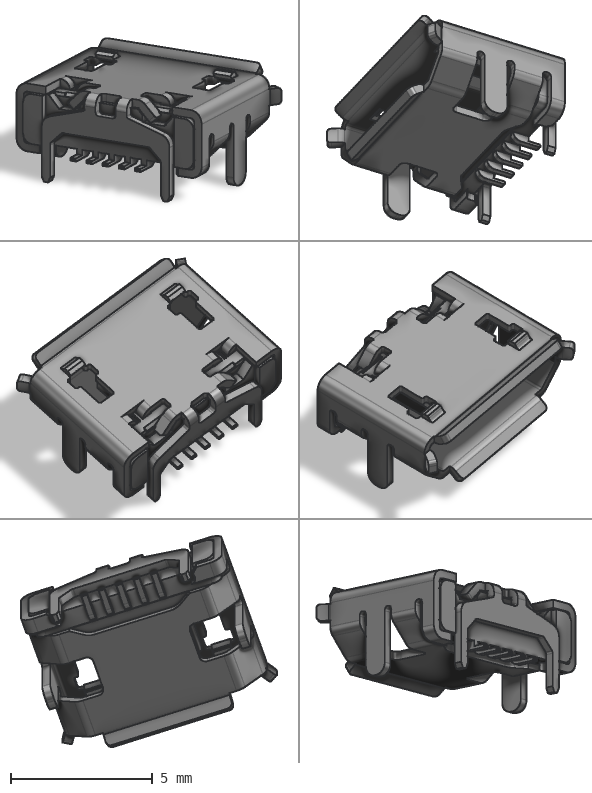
import cadquery as cq


NEARLY_FULL = 0.999

SHEET = 0.30
HALF_WIDTH = 3.74
SHELL_LENGTH = 4.93
TOP_Z = 2.49
BEND_OUTER = 0.45
BEND_INNER = BEND_OUTER - SHEET
CEILING_Z = TOP_Z - SHEET
INNER_HALF_WIDTH = HALF_WIDTH - SHEET

FRONT_FLOOR_Z = 0.06
FLANK_TOP_Z = 0.986
FLOOR_HALF_WIDTH = HALF_WIDTH - (FLANK_TOP_Z - FRONT_FLOOR_Z)

FOOT_BOTTOM_Z = -0.02
FOOT_LENGTH = 0.557
FOOT_INNER_X = 2.62
FOOT_ROUND = 0.18
SLOT_TOP_Z = 1.465
SLOT_WIDTH = 0.334
FRONT_PART_Y = FOOT_LENGTH + SLOT_WIDTH

RECESS_HALF_WIDTH = 2.24
RECESS_END_HALF_WIDTH = 1.63
RECESS_DEPTH = 0.40
RECESS_ROUND = 0.70

LEG_BOTTOM_Z = -0.955
LEG_CENTRE_Y = 2.78
LEG_WIDTH = 0.90
LEG_ROUND = 0.40
LEG_GAP = 0.30
LEG_OPENING_INNER_X = 1.80
LEG_OPENING_ROUND = 0.22

LIP_NECK = 0.055
LIP_NECK_RISE = 0.012
LIP_ROOT = 0.17
LIP_BEND = 0.40
LIP_RISE = 0.285
LIP_RISE_LENGTH = 0.42
LIP_REACH = 0.61
LIP_TIP_OFFSET = 0.01
TOP_LIP_HALF_WIDTH = 3.19
BOTTOM_LIP_HALF_WIDTH = 2.35
LIP_CORNER = 0.19
SIDE_LIP_RISE = 0.26
SIDE_LIP_REACH = 0.42
SIDE_LIP_LENGTH = 0.585
SIDE_LIP_INNER_RISE = 0.02
SIDE_LIP_BOTTOM_Z = 1.395
SIDE_LIP_TOP_Z = 1.995
SIDE_LIP_CORNER = 0.15

WINDOW_X = 2.38
WINDOW_WIDTH = 0.70
WINDOW_REAR_Y = 2.39
WINDOW_FRONT_Y = 4.457
WINDOW_WIDE_WIDTH = 1.09
WINDOW_WIDE_REAR_Y = 3.41
WINDOW_WIDE_FRONT_Y = 3.91
WINDOW_ROUND = 0.07
CATCH_RISE = 0.20
CATCH_BEND_MIDDLE_Y = 4.365
CATCH_BEND_MIDDLE_RISE = 0.05
CATCH_BEND_END_Y = 4.29
CATCH_BEND_END_RISE = 0.14
CATCH_CREST_FRONT_Y = 4.24
CATCH_CREST_REAR_Y = 4.08
CATCH_TIP_Y = 3.917
CATCH_TIP_Z = 2.60
CATCH_UNDERCUT_Y = 4.05
CATCH_UNDERCUT_FRONT_Y = 4.15
CATCH_UNDERCUT_Z = 2.42
CATCH_ROOT_Y = 4.33

OPENING_OUTER_X = 2.555
OPENING_FRONT_Y = 1.45
OPENING_FRONT_INNER_X = 1.49
CROSS_SLOT_INNER_X = 0.91
CROSS_SLOT_REAR_Y = 0.63
CROSS_SLOT_FRONT_Y = 1.06
CROSS_SLOT_ROUND = 0.08
CENTRE_HALF_WIDTH = 1.045
CENTRE_REAR_Y = 0.17
NOSE_RADIUS = 0.40

TAB_BEND_X = 1.23
TAB_TIP_X = 1.80
TAB_INNER_BEND_X = 1.08
TAB_INNER_TIP_X = 1.57
TAB_BEND_ROUND = 0.40
TAB_TIP_ROUND = 0.10

PLATE_REAR_Y = -0.255
PLATE_THICKNESS = 0.31
STRAP_INNER_X = 0.405
STRAP_OUTER_X = 0.85
STRAP_BEND = 0.39
PLATE_NOTCH_Z = 1.793
PLATE_NOTCH_ROUND = 0.14
STRAP_FOOT_ROUND = 0.10
TOP_NOTCH_DEPTH = 0.08
TOP_NOTCH_ROUND = 0.15
SHOULDER_Z = 1.905
SHOULDER_SLOPE = 0.295
SHOULDER_ROUND = 0.43
PLATE_HALF_WIDTH = 2.58
PIN_WIDTH = 0.34
PIN_TIP_WIDTH = 0.16
PIN_TAPER_Z = -0.763
ARCH_SPRING_Z = 0.50
ARCH_TOP_Z = 0.958
ARCH_TOP_HALF_WIDTH = 1.76
ARCH_ROUND = 0.12

HOUSING_TOP_Z = 2.14
HOUSING_BOTTOM_Z = 0.30
HOUSING_REAR_Y = 0.19
HOUSING_FRONT_Y = 1.90
HOUSING_ROUND = 0.35
TOWER_INNER_X = 2.66
TOWER_REAR_Y = -0.06
POCKET_FLOOR_Z = 1.67
POCKET_FRONT_Y = 0.575
POCKET_INNER_X = 1.24
POCKET_INNER_TOP_X = 1.07
POCKET_INNER_WALL_Z = 1.95
POCKET_OUTER_X = 2.12
POCKET_OUTER_TOP_X = 2.54
LEDGE_FRONT_Y = 0.63
LEDGE_CHAMFER = 0.12
STRIP_SLOT_INNER_X = 2.00
STRIP_SLOT_DEPTH = 0.20
TONGUE_HALF_WIDTH = 1.80
TONGUE_BOTTOM_Z = 1.27
TONGUE_TOP_Z = 1.87
TONGUE_FRONT_Y = 3.55
TONGUE_ROUND = 0.12

CONTACT_COUNT = 5
CONTACT_PITCH = 0.65
CONTACT_WIDTH = 0.22
CONTACT_THICKNESS = 0.12
CONTACT_BEND = 0.30
CONTACT_FRONT_Y = 0.807
CONTACT_REAR_Y = -0.28
CONTACT_TOP_Z = HOUSING_BOTTOM_Z + 0.10
CONTACT_TIP_CHAMFER = 0.035


def box(x0, x1, y0, y1, z0, z1):
    """Box between two opposite corners."""
    return cq.Workplane("XY").box(x1 - x0, y1 - y0, z1 - z0, centered=False).translate((x0, y0, z0))


def both_sides(half):
    """The +X shape together with its mirror image."""
    return half.union(half.mirror("YZ"))


def along_y(points, y0, y1):
    """Closed (x, z) outline swept from y0 to y1."""
    return cq.Workplane("XZ", origin=(0, y0, 0)).polyline(points).close().extrude(y0 - y1)


def along_x(points, x0, x1):
    """Closed (y, z) outline swept from x0 to x1."""
    return cq.Workplane("YZ", origin=(x0, 0, 0)).polyline(points).close().extrude(x1 - x0)


def along_z(points, z0, z1):
    """Closed (x, y) outline swept from z0 to z1."""
    return cq.Workplane("XY", origin=(0, 0, z0)).polyline(points).close().extrude(z1 - z0)


def mirrored_outline(half):
    """Symmetric outline from the points of its +X half."""
    return half + [(-x, z) for x, z in reversed(half)]


def near(x, y, z, reach=0.01):
    """Selector for edges whose centre lies at a point."""
    return cq.selectors.BoxSelector(
        (x - reach, y - reach, z - reach), (x + reach, y + reach, z + reach)
    )


def tube(outline, y0, y1):
    """Folded sheet tube with rounded bends, and the solid that fills its inside."""
    outer = along_y(outline, y0, y1).edges("|Y").fillet(BEND_OUTER)
    wire = cq.Workplane("XZ", origin=(0, y0, 0)).polyline(outline).close()
    inside = wire.offset2D(-SHEET, "intersection").extrude(y0 - y1).edges("|Y").fillet(BEND_INNER)
    return outer.cut(inside), inside


KEYED_OUTLINE = mirrored_outline(
    [(HALF_WIDTH, TOP_Z), (HALF_WIDTH, FLANK_TOP_Z), (FLOOR_HALF_WIDTH, FRONT_FLOOR_Z)]
)
SQUARE_OUTLINE = mirrored_outline([(HALF_WIDTH, TOP_Z), (HALF_WIDTH, FOOT_BOTTOM_Z)])


def make_tubes():
    """Square rear part and keyed front part, with the slots between feet and flanks."""
    front, front_inside = tube(KEYED_OUTLINE, FRONT_PART_Y, SHELL_LENGTH)
    rear, _ = tube(SQUARE_OUTLINE, 0, FRONT_PART_Y)
    foot_gap = box(-FOOT_INNER_X, FOOT_INNER_X, 0, FOOT_LENGTH, FOOT_BOTTOM_Z, SHEET + BEND_INNER)
    foot_gap = foot_gap.edges("|Z and >Y").fillet(FOOT_ROUND)
    rounding = along_z(
        [(FOOT_INNER_X, 0), (FOOT_INNER_X + FOOT_ROUND, 0), (FOOT_INNER_X, FOOT_ROUND)],
        FOOT_BOTTOM_Z,
        FOOT_BOTTOM_Z + SHEET,
    )
    slot_radius = SLOT_WIDTH / 2
    slot = box(-HALF_WIDTH, HALF_WIDTH, FOOT_LENGTH, FRONT_PART_Y, FOOT_BOTTOM_Z, SLOT_TOP_Z)
    slot = slot.edges("|X and >Z").fillet(slot_radius * NEARLY_FULL)
    rear = rear.cut(foot_gap).cut(both_sides(rounding)).cut(slot)
    recess_end_y = FRONT_PART_Y + RECESS_DEPTH
    recess = along_z(
        mirrored_outline(
            [(RECESS_HALF_WIDTH, FRONT_PART_Y), (RECESS_END_HALF_WIDTH, recess_end_y)]
        ),
        0,
        SHEET + BEND_INNER,
    )
    recess = recess.edges("|Z and >Y").fillet(RECESS_ROUND)
    return front.cut(recess).union(rear), front_inside


def add_legs(shell):
    """Straight legs freed from the flanks by an opening that runs into the floor."""
    rear_y = LEG_CENTRE_Y - LEG_WIDTH / 2
    front_y = LEG_CENTRE_Y + LEG_WIDTH / 2
    gap_radius = LEG_GAP / 2
    opening = box(
        LEG_OPENING_INNER_X, HALF_WIDTH, rear_y - LEG_GAP, front_y + LEG_GAP,
        0, SLOT_TOP_Z - gap_radius,
    )
    opening = opening.edges("|Z and <X").fillet(LEG_OPENING_ROUND)
    for y in (rear_y - LEG_GAP, front_y):
        gap = box(INNER_HALF_WIDTH, HALF_WIDTH, y, y + LEG_GAP, 0, SLOT_TOP_Z)
        opening = opening.union(gap.edges("|X and >Z").fillet(gap_radius * NEARLY_FULL))
    leg = box(INNER_HALF_WIDTH, HALF_WIDTH, rear_y, front_y, LEG_BOTTOM_Z, SLOT_TOP_Z)
    leg = leg.edges("|X and <Z").fillet(LEG_ROUND)
    return shell.cut(both_sides(opening)).union(both_sides(leg))


def lip_profile(edge_z, outward):
    """Flared lip section in (y, z); outward is +1 for the top lip and -1 for the bottom one."""
    inner_z = edge_z - outward * SHEET
    return [
        (SHELL_LENGTH, inner_z),
        (SHELL_LENGTH, edge_z),
        (SHELL_LENGTH + LIP_NECK, edge_z + outward * LIP_NECK_RISE),
        (SHELL_LENGTH + LIP_RISE_LENGTH, edge_z + outward * LIP_RISE),
        (SHELL_LENGTH + LIP_REACH, edge_z + outward * LIP_TIP_OFFSET),
        (SHELL_LENGTH + LIP_ROOT, inner_z),
    ]


def make_lips():
    """Flared lips above, below and on both sides of the mouth."""
    top = along_x(lip_profile(TOP_Z, 1), -TOP_LIP_HALF_WIDTH, TOP_LIP_HALF_WIDTH)
    bottom = along_x(lip_profile(FRONT_FLOOR_Z, -1), -BOTTOM_LIP_HALF_WIDTH, BOTTOM_LIP_HALF_WIDTH)
    tip_y = SHELL_LENGTH + (LIP_RISE_LENGTH + LIP_REACH) / 2
    tip_rise = (LIP_RISE + LIP_TIP_OFFSET) / 2
    bend_y = SHELL_LENGTH + LIP_ROOT
    top = top.edges(near(0, bend_y, CEILING_Z)).fillet(LIP_BEND)
    bottom = bottom.edges(near(0, bend_y, FRONT_FLOOR_Z + SHEET)).fillet(LIP_BEND)
    top = round_tip(top, TOP_LIP_HALF_WIDTH, tip_y, TOP_Z + tip_rise)
    bottom = round_tip(bottom, BOTTOM_LIP_HALF_WIDTH, tip_y, FRONT_FLOOR_Z - tip_rise)
    side = along_z(
        [
            (INNER_HALF_WIDTH, SHELL_LENGTH),
            (HALF_WIDTH, SHELL_LENGTH),
            (HALF_WIDTH + LIP_NECK_RISE, SHELL_LENGTH + LIP_NECK),
            (HALF_WIDTH + SIDE_LIP_RISE, SHELL_LENGTH + SIDE_LIP_REACH),
            (HALF_WIDTH - SIDE_LIP_INNER_RISE, SHELL_LENGTH + SIDE_LIP_LENGTH),
            (INNER_HALF_WIDTH, SHELL_LENGTH + LIP_ROOT),
        ],
        SIDE_LIP_BOTTOM_Z,
        SIDE_LIP_TOP_Z,
    )
    side_middle_z = (SIDE_LIP_BOTTOM_Z + SIDE_LIP_TOP_Z) / 2
    side = side.edges(near(INNER_HALF_WIDTH, bend_y, side_middle_z)).fillet(LIP_BEND)
    side_tip_x = HALF_WIDTH + (SIDE_LIP_RISE - SIDE_LIP_INNER_RISE) / 2
    side_tip_y = SHELL_LENGTH + (SIDE_LIP_REACH + SIDE_LIP_LENGTH) / 2
    for z in (SIDE_LIP_BOTTOM_Z, SIDE_LIP_TOP_Z):
        side = side.edges(near(side_tip_x, side_tip_y, z)).fillet(SIDE_LIP_CORNER)
    return top.union(bottom).union(both_sides(side))


def round_tip(lip, half_width, y, z):
    """Round the two outer corners of a lip."""
    for x in (-half_width, half_width):
        lip = lip.edges(near(x, y, z)).fillet(LIP_CORNER)
    return lip


def add_latch_windows(shell):
    """Keyhole windows in the top, each with a raised catch at its front end."""
    left = WINDOW_X - WINDOW_WIDTH / 2
    right = WINDOW_X + WINDOW_WIDTH / 2
    narrow = box(left, right, WINDOW_REAR_Y, WINDOW_FRONT_Y, CEILING_Z, TOP_Z)
    wide_half = WINDOW_WIDE_WIDTH / 2
    wide = box(
        WINDOW_X - wide_half, WINDOW_X + wide_half,
        WINDOW_WIDE_REAR_Y, WINDOW_WIDE_FRONT_Y, CEILING_Z, TOP_Z,
    )
    window = narrow.union(wide).edges("|Z").edges("not >Y").fillet(WINDOW_ROUND)
    crest_z = TOP_Z + CATCH_RISE
    catch = (
        cq.Workplane("YZ", origin=(left, 0, 0))
        .moveTo(WINDOW_FRONT_Y, CEILING_Z)
        .lineTo(WINDOW_FRONT_Y, TOP_Z)
        .threePointArc(
            (CATCH_BEND_MIDDLE_Y, TOP_Z + CATCH_BEND_MIDDLE_RISE),
            (CATCH_BEND_END_Y, TOP_Z + CATCH_BEND_END_RISE),
        )
        .lineTo(CATCH_CREST_FRONT_Y, crest_z)
        .lineTo(CATCH_CREST_REAR_Y, crest_z)
        .lineTo(CATCH_TIP_Y, CATCH_TIP_Z)
        .lineTo(CATCH_UNDERCUT_Y, CATCH_UNDERCUT_Z)
        .lineTo(CATCH_UNDERCUT_FRONT_Y, CATCH_UNDERCUT_Z)
        .lineTo(CATCH_ROOT_Y, CEILING_Z)
        .close()
        .extrude(WINDOW_WIDTH)
    )
    return shell.cut(both_sides(window)).union(both_sides(catch))


def add_rear_openings(shell):
    """Openings behind the top, leaving the centre strip, rounded noses and clamping tabs."""
    opening = box(
        CENTRE_HALF_WIDTH, OPENING_OUTER_X, 0, CROSS_SLOT_FRONT_Y, CEILING_Z, TOP_Z
    )
    front = box(
        OPENING_FRONT_INNER_X, OPENING_OUTER_X,
        CROSS_SLOT_REAR_Y, OPENING_FRONT_Y, CEILING_Z, TOP_Z,
    )
    cross = box(
        CROSS_SLOT_INNER_X, OPENING_OUTER_X,
        CROSS_SLOT_REAR_Y, CROSS_SLOT_FRONT_Y, CEILING_Z, TOP_Z,
    )
    cross = cross.edges("|Z and <X").fillet(CROSS_SLOT_ROUND)
    rear_trim = box(-CENTRE_HALF_WIDTH, CENTRE_HALF_WIDTH, 0, CENTRE_REAR_Y, CEILING_Z, TOP_Z)
    notch = box(
        -STRAP_INNER_X, STRAP_INNER_X,
        0, CENTRE_REAR_Y + TOP_NOTCH_DEPTH, CEILING_Z, TOP_Z,
    )
    notch = notch.edges("|Z and >Y").fillet(TOP_NOTCH_ROUND)
    shell = shell.cut(both_sides(opening.union(front).union(cross))).cut(rear_trim).cut(notch)
    noses = make_nose(OPENING_OUTER_X, -1).union(make_nose(OPENING_FRONT_INNER_X, 1))
    return shell.union(both_sides(noses)).union(both_sides(make_tab()))


def make_nose(root_x, direction):
    """Edge of an opening curled down through a quarter turn, into the housing."""
    tip_x = root_x + direction * NOSE_RADIUS
    nose = box(
        min(root_x, tip_x), max(root_x, tip_x), CROSS_SLOT_FRONT_Y, OPENING_FRONT_Y,
        TOP_Z - NOSE_RADIUS, TOP_Z,
    )
    rounding = cq.Workplane("XZ", origin=(root_x, CROSS_SLOT_FRONT_Y, TOP_Z - NOSE_RADIUS))
    rounding = rounding.circle(NOSE_RADIUS).extrude(CROSS_SLOT_FRONT_Y - OPENING_FRONT_Y)
    return nose.intersect(rounding)


def make_tab():
    """Clamping tab bent down at 45 degrees from the side of the centre strip."""
    tab = along_y(
        [
            (CENTRE_HALF_WIDTH, TOP_Z),
            (TAB_BEND_X, TOP_Z),
            (TAB_TIP_X, TOP_Z - (TAB_TIP_X - TAB_BEND_X)),
            (TAB_INNER_TIP_X, CEILING_Z - (TAB_INNER_TIP_X - TAB_INNER_BEND_X)),
            (TAB_INNER_BEND_X, CEILING_Z),
            (CENTRE_HALF_WIDTH, CEILING_Z),
        ],
        CENTRE_REAR_Y,
        CROSS_SLOT_REAR_Y,
    )
    middle_y = (CENTRE_REAR_Y + CROSS_SLOT_REAR_Y) / 2
    tab = tab.edges(near(TAB_BEND_X, middle_y, TOP_Z)).fillet(TAB_BEND_ROUND)
    tip_x = (TAB_TIP_X + TAB_INNER_TIP_X) / 2
    tip_z = (TOP_Z - TAB_TIP_X + TAB_BEND_X + CEILING_Z - TAB_INNER_TIP_X + TAB_INNER_BEND_X) / 2
    for y in (CENTRE_REAR_Y, CROSS_SLOT_REAR_Y):
        tab = tab.edges(near(tip_x, y, tip_z)).fillet(TAB_TIP_ROUND)
    return tab


def make_back_plate():
    """Back plate with two solder pins, and the two bent straps that carry it."""
    pin_inner_x = PLATE_HALF_WIDTH - PIN_WIDTH
    tip_inset = (PIN_WIDTH - PIN_TIP_WIDTH) / 2
    strap_z = TOP_Z - STRAP_BEND
    corner_z = SHOULDER_Z - SHOULDER_SLOPE * (PLATE_HALF_WIDTH - STRAP_OUTER_X)
    plate_front_y = PLATE_REAR_Y + PLATE_THICKNESS
    outline = mirrored_outline(
        [
            (STRAP_INNER_X, PLATE_NOTCH_Z),
            (STRAP_INNER_X, strap_z),
            (STRAP_OUTER_X, strap_z),
            (STRAP_OUTER_X, SHOULDER_Z),
            (PLATE_HALF_WIDTH, corner_z),
            (PLATE_HALF_WIDTH, PIN_TAPER_Z),
            (PLATE_HALF_WIDTH - tip_inset, LEG_BOTTOM_Z),
            (pin_inner_x + tip_inset, LEG_BOTTOM_Z),
            (pin_inner_x, PIN_TAPER_Z),
            (pin_inner_x, ARCH_SPRING_Z),
            (ARCH_TOP_HALF_WIDTH, ARCH_TOP_Z),
        ]
    )
    plate = along_y(outline, PLATE_REAR_Y, plate_front_y)
    middle_y = PLATE_REAR_Y + PLATE_THICKNESS / 2
    rounds = [
        (STRAP_INNER_X, PLATE_NOTCH_Z, PLATE_NOTCH_ROUND),
        (STRAP_OUTER_X, SHOULDER_Z, STRAP_FOOT_ROUND),
        (PLATE_HALF_WIDTH, corner_z, SHOULDER_ROUND),
        (pin_inner_x, ARCH_SPRING_Z, ARCH_ROUND),
        (ARCH_TOP_HALF_WIDTH, ARCH_TOP_Z, ARCH_ROUND),
    ]
    for x, z, radius in rounds:
        for side in (-1, 1):
            plate = plate.edges(near(side * x, middle_y, z)).fillet(radius)
    strap = along_x(
        [
            (PLATE_REAR_Y, strap_z),
            (PLATE_REAR_Y, TOP_Z),
            (CENTRE_REAR_Y, TOP_Z),
            (CENTRE_REAR_Y, CEILING_Z),
            (plate_front_y, CEILING_Z),
            (plate_front_y, strap_z),
        ],
        STRAP_INNER_X,
        STRAP_OUTER_X,
    )
    strap = strap.edges("|X and <Y and >Z").fillet(STRAP_BEND * NEARLY_FULL)
    return plate.union(both_sides(strap))


def make_housing(front_inside):
    """Moulded body filling the rear of the shell, with its side towers and mating tongue."""
    rear = box(
        -INNER_HALF_WIDTH, INNER_HALF_WIDTH, TOWER_REAR_Y, FRONT_PART_Y,
        HOUSING_BOTTOM_Z, HOUSING_TOP_Z,
    )
    rear = rear.edges("|Y").fillet(HOUSING_ROUND)
    between_towers = box(
        -TOWER_INNER_X, TOWER_INNER_X, TOWER_REAR_Y, HOUSING_REAR_Y,
        HOUSING_BOTTOM_Z, HOUSING_TOP_Z,
    )
    front = box(
        -INNER_HALF_WIDTH, INNER_HALF_WIDTH, FRONT_PART_Y, HOUSING_FRONT_Y, 0, HOUSING_TOP_Z
    )
    tongue = box(
        -TONGUE_HALF_WIDTH, TONGUE_HALF_WIDTH, HOUSING_FRONT_Y, TONGUE_FRONT_Y,
        TONGUE_BOTTOM_Z, TONGUE_TOP_Z,
    )
    tongue = tongue.edges("|Y and <Z").fillet(TONGUE_ROUND)
    body = rear.cut(between_towers).union(front.intersect(front_inside)).union(tongue)
    strip_slot = box(
        STRIP_SLOT_INNER_X, OPENING_OUTER_X - NOSE_RADIUS, CROSS_SLOT_FRONT_Y, OPENING_FRONT_Y,
        HOUSING_TOP_Z - STRIP_SLOT_DEPTH, HOUSING_TOP_Z,
    )
    return body.cut(both_sides(make_pocket().union(strip_slot)))


def make_pocket():
    """Clearance pocket under a clamping tab, with a chamfered ledge along its front."""
    pocket = along_y(
        [
            (POCKET_INNER_X, POCKET_FLOOR_Z),
            (POCKET_INNER_X, POCKET_INNER_WALL_Z),
            (POCKET_INNER_TOP_X, HOUSING_TOP_Z),
            (POCKET_OUTER_TOP_X, HOUSING_TOP_Z),
            (POCKET_OUTER_X, POCKET_FLOOR_Z),
        ],
        HOUSING_REAR_Y,
        POCKET_FRONT_Y,
    )
    ledge_z = HOUSING_TOP_Z - LEDGE_CHAMFER
    ledge = along_x(
        [
            (POCKET_FRONT_Y, ledge_z),
            (LEDGE_FRONT_Y, ledge_z),
            (LEDGE_FRONT_Y + LEDGE_CHAMFER, HOUSING_TOP_Z),
            (POCKET_FRONT_Y, HOUSING_TOP_Z),
        ],
        POCKET_INNER_TOP_X,
        POCKET_OUTER_X,
    )
    side_chamfer = along_x(
        [
            (POCKET_FRONT_Y, ledge_z),
            (LEDGE_FRONT_Y, HOUSING_TOP_Z),
            (POCKET_FRONT_Y, HOUSING_TOP_Z),
        ],
        POCKET_OUTER_X,
        POCKET_OUTER_TOP_X,
    )
    return pocket.union(ledge).union(side_chamfer)


def make_contacts():
    """Row of contact tails, each running rearward from a block under the housing."""
    tail_top_z = FOOT_BOTTOM_Z + CONTACT_THICKNESS
    tail = along_x(
        [
            (CONTACT_FRONT_Y, CONTACT_TOP_Z),
            (CONTACT_FRONT_Y, FOOT_BOTTOM_Z),
            (CONTACT_REAR_Y, FOOT_BOTTOM_Z),
            (CONTACT_REAR_Y, tail_top_z),
            (HOUSING_REAR_Y, tail_top_z),
            (HOUSING_REAR_Y, CONTACT_TOP_Z),
        ],
        -CONTACT_WIDTH / 2,
        CONTACT_WIDTH / 2,
    )
    tail = tail.edges(near(0, CONTACT_FRONT_Y, FOOT_BOTTOM_Z)).fillet(CONTACT_BEND)
    tail = tail.edges("|X and <Y").chamfer(CONTACT_TIP_CHAMFER)
    contacts = cq.Workplane("XY")
    for i in range(CONTACT_COUNT):
        x = (i - (CONTACT_COUNT - 1) / 2) * CONTACT_PITCH
        contacts = contacts.union(tail.translate((x, 0, 0)))
    return contacts


shell, shell_inside = make_tubes()
shell = add_legs(shell)
shell = add_latch_windows(shell)
shell = add_rear_openings(shell)
shell = shell.union(make_lips()).union(make_back_plate())
result = shell.union(make_housing(shell_inside)).union(make_contacts())